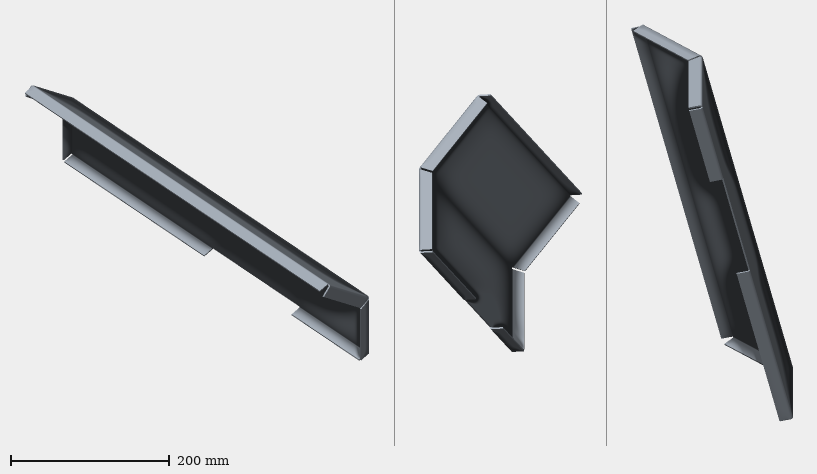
import cadquery as cq
import math

BODY_WIDTH = 502.4
OVERALL_WIDTH = 502.86
OVERALL_DEPTH = 92.5
OVERALL_HEIGHT = 201.73

SHEET = 2.0
INNER_RADIUS = 1.2
OUTER_RADIUS = SHEET + INNER_RADIUS
FOLD_ANGLE = 40.0
SQUARE = 90.0
LIP_ANGLE = SQUARE - FOLD_ANGLE

FLANGE_DEPTH = 17.3
FOLD_HEIGHT = 110.5
MITRE_GAP = 2.5
BOTTOM_GAP_START = 238.5
BOTTOM_GAP_WIDTH = 147.0

CORE_WIDTH = BODY_WIDTH - 2 * OUTER_RADIUS
HALF_CORE = CORE_WIDTH / 2
SLOPE_Y = -math.sin(math.radians(FOLD_ANGLE))
SLOPE_Z = math.cos(math.radians(FOLD_ANGLE))
LIP_TANGENT = OUTER_RADIUS * math.tan(math.radians(LIP_ANGLE / 2))
SLOPE_LENGTH = (OVERALL_HEIGHT - FOLD_HEIGHT) / SLOPE_Z
PANEL_LENGTH = SLOPE_LENGTH - LIP_TANGENT
LIP_REACH = OVERALL_DEPTH + SLOPE_LENGTH * SLOPE_Y
FLARE = OVERALL_WIDTH - BODY_WIDTH
FLARE_ANGLE = math.degrees(math.atan(FLARE / PANEL_LENGTH))

FLANGE_LEG = FLANGE_DEPTH - OUTER_RADIUS
SLOPE = cq.Vector(0, SLOPE_Y, SLOPE_Z)
OUTWARD = cq.Vector(0, SLOPE_Z, -SLOPE_Y)
FOLD_CORNER = cq.Vector(HALF_CORE, 0, FOLD_HEIGHT)


def bent_strip(plane, angle, straight, length):
    """Bend plus straight leg leaving a panel edge, swept along the plane normal.

    The panel lies along local x with its outer face on y = 0 and ends at x = 0.
    """
    turn = math.radians(angle)

    def on_bend(radius, part):
        return radius * math.sin(part), radius * math.cos(part) - OUTER_RADIUS

    def leg_end(radius):
        x, y = on_bend(radius, turn)
        return x + straight * math.cos(turn), y - straight * math.sin(turn)

    return (
        cq.Workplane(plane)
        .moveTo(0, 0)
        .threePointArc(on_bend(OUTER_RADIUS, turn / 2), on_bend(OUTER_RADIUS, turn))
        .lineTo(*leg_end(OUTER_RADIUS))
        .lineTo(*leg_end(INNER_RADIUS))
        .lineTo(*on_bend(INNER_RADIUS, turn))
        .threePointArc(on_bend(INNER_RADIUS, turn / 2), on_bend(INNER_RADIUS, 0))
        .close()
        .extrude(length)
    )


def folded_panel():
    """Lower and upper panels as one folded sheet between the side bends."""
    fold_inset = SHEET * math.tan(math.radians(FOLD_ANGLE / 2))
    top_y = PANEL_LENGTH * SLOPE_Y
    top_z = FOLD_HEIGHT + PANEL_LENGTH * SLOPE_Z
    return (
        cq.Workplane("YZ", origin=(-HALF_CORE, 0, 0))
        .polyline([
            (0, OUTER_RADIUS),
            (0, FOLD_HEIGHT),
            (top_y, top_z),
            (top_y - SHEET * SLOPE_Z, top_z + SHEET * SLOPE_Y),
            (-SHEET, FOLD_HEIGHT - fold_inset),
            (-SHEET, OUTER_RADIUS),
        ])
        .close()
        .extrude(CORE_WIDTH)
    )


def flare_wedge():
    """Thin triangle that widens the upper panel out to the flared flange."""
    face = cq.Plane(origin=FOLD_CORNER.toTuple(), xDir=(1, 0, 0), normal=(-OUTWARD).toTuple())
    return (
        cq.Workplane(face)
        .polyline([(0, 0), (0, PANEL_LENGTH), (FLARE, PANEL_LENGTH)])
        .close()
        .extrude(SHEET)
    )


def mitre_half(side):
    """Block holding everything above (side 1) or below (side -1) the mitre gap at the fold."""
    block = 2 * OVERALL_WIDTH
    return (
        cq.Workplane("XY")
        .box(block, block, block)
        .translate((0, 0, side * (block + MITRE_GAP) / 2))
        .rotate((0, 0, 0), (1, 0, 0), FOLD_ANGLE / 2)
        .translate((0, 0, FOLD_HEIGHT))
    )


def lower_flange():
    """Right flange of the lower panel, mitred at the fold."""
    plane = cq.Plane(origin=(HALF_CORE, 0, OUTER_RADIUS), xDir=(1, 0, 0), normal=(0, 0, 1))
    return bent_strip(plane, SQUARE, FLANGE_LEG, FOLD_HEIGHT).intersect(mitre_half(-1))


def upper_flange(flare_angle):
    """Right flange of the upper panel, turned outward in the panel plane and mitred at the fold."""
    flare = math.radians(flare_angle)
    start = FOLD_CORNER - SLOPE * FLANGE_DEPTH
    plane = cq.Plane(origin=start.toTuple(), xDir=(1, 0, 0), normal=SLOPE.toTuple())
    length = FLANGE_DEPTH + PANEL_LENGTH / math.cos(flare)
    strip = bent_strip(plane, SQUARE, FLANGE_LEG, length)
    axis_end = FOLD_CORNER + OUTWARD
    return strip.rotate(FOLD_CORNER.toTuple(), axis_end.toTuple(), flare_angle).intersect(mitre_half(1))


def side_flanges():
    """Lower and upper flange on each side; only the upper right one flares."""
    left = lower_flange().union(upper_flange(0)).mirror("YZ")
    return left.union(lower_flange()).union(upper_flange(FLARE_ANGLE))


def top_lip():
    """Level lip along the top of the upper panel."""
    edge = FOLD_CORNER + SLOPE * PANEL_LENGTH
    plane = cq.Plane(origin=edge.toTuple(), xDir=SLOPE.toTuple(), normal=(-1, 0, 0))
    return bent_strip(plane, LIP_ANGLE, LIP_REACH - LIP_TANGENT, CORE_WIDTH)


def bottom_flange(start_x, end_x):
    """Flange along part of the bottom edge of the lower panel."""
    plane = cq.Plane(origin=(start_x, 0, OUTER_RADIUS), xDir=(0, 0, -1), normal=(1, 0, 0))
    return bent_strip(plane, SQUARE, FLANGE_LEG, end_x - start_x)


gap_start = BOTTOM_GAP_START - BODY_WIDTH / 2
result = (
    folded_panel()
    .union(flare_wedge())
    .union(side_flanges())
    .union(top_lip())
    .union(bottom_flange(-HALF_CORE, gap_start))
    .union(bottom_flange(gap_start + BOTTOM_GAP_WIDTH, HALF_CORE))
)